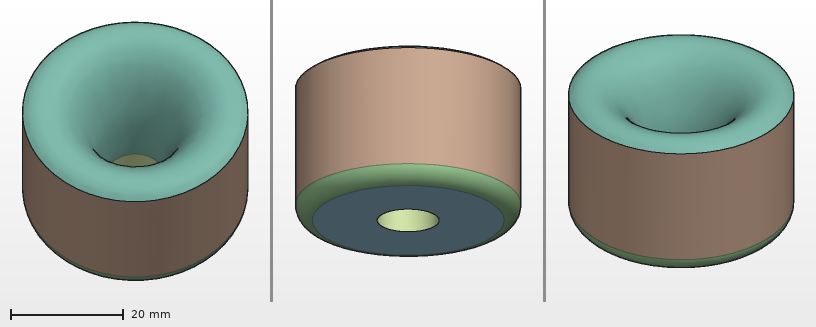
import cadquery as cq
import math

outer_radius = 20.0
height = 26.3
base_fillet = 3.0

crest_radius = 16.8
rim_drop = 1.2

bore_diameter = 11.0
funnel_depth = 20.8

bore_radius = bore_diameter / 2
rim_height = height - rim_drop
throat_height = height - funnel_depth
funnel_width = crest_radius - bore_radius

crown_width = outer_radius - crest_radius
crown_arc_radius = (crown_width**2 + rim_drop**2) / (2 * rim_drop)
crown_half_angle = math.asin(crown_width / crown_arc_radius) / 2
crown_middle = (
    crest_radius + crown_arc_radius * math.sin(crown_half_angle),
    height - crown_arc_radius * (1 - math.cos(crown_half_angle)),
)


def funnel_point(t):
    """Point on the funnel wall, from the crest (t = 0) to the throat (t = 1)."""
    angle = t * math.pi / 2
    return (
        crest_radius - funnel_width * math.sin(angle),
        throat_height + funnel_depth * math.cos(angle),
    )


funnel_steps = 6
wall_points = [crown_middle]
for step in range(funnel_steps + 1):
    wall_points.append(funnel_point(step / funnel_steps))

corner_offset = base_fillet * (1 - math.sqrt(0.5))
profile = (
    cq.Workplane("XZ")
    .moveTo(bore_radius, 0)
    .lineTo(outer_radius - base_fillet, 0)
    .threePointArc((outer_radius - corner_offset, corner_offset), (outer_radius, base_fillet))
    .lineTo(outer_radius, rim_height)
    .spline(wall_points, includeCurrent=True)
    .close()
)
result = profile.revolve(360, (0, 0, 0), (0, 1, 0))